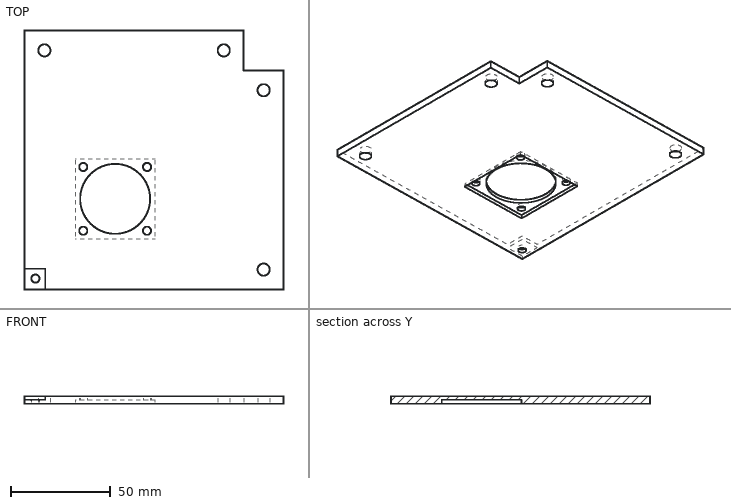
import cadquery as cq

plate_side = 130.0
plate_thickness = 4.0

notch_side = 20.0

mounting_hole_diameter = 6.0
mounting_hole_inset = 10.0

screw_hole_diameter = 4.0

opening_diameter = 35.0
opening_center = 45.5
screw_hole_spacing = 32.0

recess_side = 40.0
recess_depth = 2.0

step_side = 10.5
step_depth = 2.0
step_hole_inset = 5.5


def make_plate():
    """Flat square plate with one corner notched out."""
    shoulder = plate_side - notch_side
    return (
        cq.Workplane("XY")
        .moveTo(0, 0)
        .lineTo(plate_side, 0)
        .lineTo(plate_side, shoulder)
        .lineTo(shoulder, shoulder)
        .lineTo(shoulder, plate_side)
        .lineTo(0, plate_side)
        .close()
        .extrude(plate_thickness)
    )


def cut_round_holes(body, centers, diameter):
    """Cut a through hole of the given diameter at each center."""
    holes = cq.Workplane("XY").pushPoints(centers).circle(diameter / 2).extrude(plate_thickness)
    return body.cut(holes)


def cut_mounting_holes(body):
    """Two holes along the +Y edge and two along the +X edge, mirrored about the diagonal."""
    near = mounting_hole_inset
    beside_notch = plate_side - notch_side - mounting_hole_inset
    far = plate_side - mounting_hole_inset
    centers = [(near, far), (beside_notch, far), (far, beside_notch), (far, near)]
    return cut_round_holes(body, centers, mounting_hole_diameter)


def cut_opening(body):
    """Large round opening and the four screw holes around it."""
    body = cut_round_holes(body, [(opening_center, opening_center)], opening_diameter)
    low = opening_center - screw_hole_spacing / 2
    high = opening_center + screw_hole_spacing / 2
    centers = [(x, y) for x in (low, high) for y in (low, high)]
    return cut_round_holes(body, centers, screw_hole_diameter)


def cut_underside_recess(body):
    """Shallow square recess under the opening and its screw holes."""
    recess = (
        cq.Workplane("XY")
        .center(opening_center, opening_center)
        .rect(recess_side, recess_side)
        .extrude(recess_depth)
    )
    return body.cut(recess)


def cut_corner_step(body):
    """Lower the top face at the corner and drill through the step."""
    step = (
        cq.Workplane("XY")
        .workplane(offset=plate_thickness - step_depth)
        .rect(step_side, step_side, centered=False)
        .extrude(step_depth)
    )
    return cut_round_holes(body.cut(step), [(step_hole_inset, step_hole_inset)], screw_hole_diameter)


result = make_plate()
result = cut_mounting_holes(result)
result = cut_opening(result)
result = cut_underside_recess(result)
result = cut_corner_step(result)